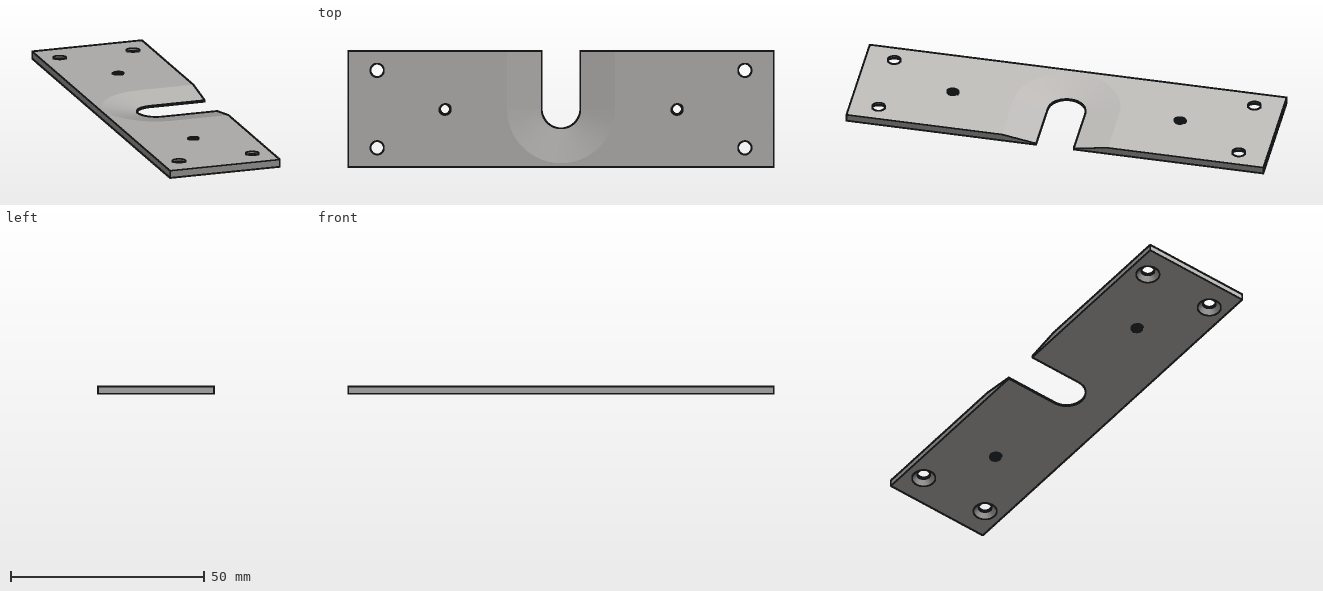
import cadquery as cq

length = 110.0
width = 30.0
thickness = 2.0

slot_radius = 5.0
recess_radius = 14.0
recess_depth = 1.5

mount_diameter = 3.4
mount_spacing_x = 95.0
mount_spacing_y = 20.0
countersink_diameter = 6.0
countersink_depth = (countersink_diameter - mount_diameter) / 2

thread_minor_diameter = 2.5
thread_major_diameter = 3.1
thread_minor_radius = thread_minor_diameter / 2
thread_major_radius = thread_major_diameter / 2
thread_spacing = 60.0
thread_pitch = 0.5
thread_mouth = 0.38
thread_overlap = 0.05

back_edge = width / 2


blank = cq.Workplane("XY").box(length, width, thickness, centered=(True, True, False))


def sloped_recess():
    """Cutter whose floor falls from the recess rim to the edge of the slot."""
    floor_z = thickness - recess_depth
    half_profile = [
        (0, thickness),
        (recess_radius, thickness),
        (slot_radius, floor_z),
        (0, floor_z),
    ]
    rounded_end = cq.Workplane("XZ").polyline(half_profile).close().revolve(360, (0, 0), (0, 1))
    straight_run = (
        cq.Workplane("XZ")
        .polyline([
            (-recess_radius, thickness),
            (recess_radius, thickness),
            (slot_radius, floor_z),
            (-slot_radius, floor_z),
        ])
        .close()
        .extrude(-back_edge)
    )
    return rounded_end.union(straight_run)


def open_slot():
    """Round-ended slot from the plate centre out through the +Y edge."""
    rounded_end = cq.Workplane("XY").circle(slot_radius).extrude(thickness)
    straight_run = cq.Workplane("XY").box(
        2 * slot_radius, back_edge, thickness, centered=(True, False, False)
    )
    return rounded_end.union(straight_run)


def mounting_holes():
    """Four through holes with 90 degree countersinks in the underside."""
    hole_profile = [
        (0, 0),
        (countersink_diameter / 2, 0),
        (mount_diameter / 2, countersink_depth),
        (mount_diameter / 2, thickness),
        (0, thickness),
    ]
    hole = cq.Workplane("XZ").polyline(hole_profile).close().revolve(360, (0, 0), (0, 1)).val()
    return (
        cq.Workplane("XY")
        .rarray(mount_spacing_x, mount_spacing_y, 2, 2)
        .eachpoint(lambda place: hole.moved(place), combine=True)
    )


def tap_holes():
    """Two cylinders at the minor diameter of the threads."""
    return (
        cq.Workplane("XY")
        .rarray(thread_spacing, 1.1, 2, 1)
        .circle(thread_minor_radius)
        .extrude(thickness)
    )


def thread_groove(x):
    """Right-handed helical V groove, trimmed flush with both faces of the plate."""
    inner_radius = thread_minor_radius - thread_overlap
    groove_profile = [
        (inner_radius, -thread_mouth / 2),
        (thread_major_radius, 0),
        (inner_radius, thread_mouth / 2),
    ]
    helix = cq.Wire.makeHelix(thread_pitch, thickness + 2 * thread_pitch, thread_minor_radius)
    groove = cq.Workplane("XZ").polyline(groove_profile).close().sweep(cq.Workplane(helix), isFrenet=True)
    return groove.translate((x, 0, -thread_pitch)).intersect(blank)


plate = blank.cut(sloped_recess()).cut(open_slot())

plate = plate.cut(mounting_holes())
plate = plate.cut(tap_holes())
for side in (-1, 1):
    plate = plate.cut(thread_groove(side * thread_spacing / 2))

result = plate